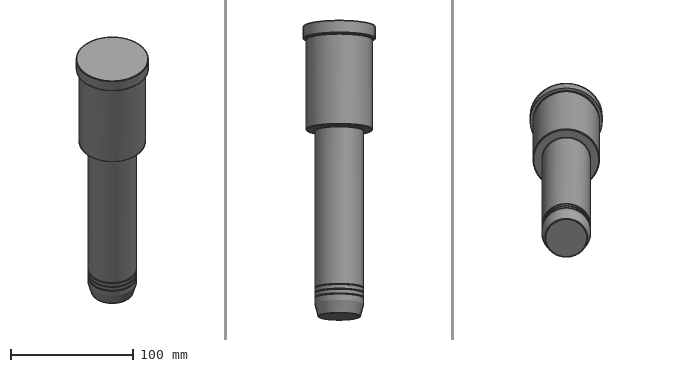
import cadquery as cq

total_length = 241.0
head_diameter = 59.0
head_height = 10.0
body_diameter = 54.5
body_length = 76.2
shank_diameter = 40.0
tip_diameter = 34.5
tip_length = 10.1
body_chamfer = 0.7
end_chamfer = 0.5

groove_count = 3
lowest_groove_height = 15.7
groove_span = 8.0
groove_width = 1.0
groove_depth = 0.2
neck_width = 1.5
neck_depth = 0.7

groove_pitch = groove_span / (groove_count - 1)
head_base = total_length - head_height
body_base = head_base - body_length


def cylinder(diameter, base, height):
    """Solid cylinder on the Z axis, starting at the given height."""
    return cq.Workplane("XY").workplane(offset=base).circle(diameter / 2).extrude(height)


def tapered_tip():
    """Cone that widens from the chamfered tip face to the shank."""
    return (
        cq.Workplane("XY")
        .circle(tip_diameter / 2)
        .workplane(offset=tip_length)
        .circle(shank_diameter / 2)
        .loft(ruled=True)
        .faces("<Z")
        .chamfer(end_chamfer)
    )


def cut_groove(part, diameter, center_height, width, depth):
    """Cut a shallow V-shaped ring groove into a cylindrical surface."""
    radius = diameter / 2
    half_width = width / 2
    profile = [
        (radius - depth, center_height),
        (radius, center_height + half_width),
        (radius + depth, center_height + half_width),
        (radius + depth, center_height - half_width),
        (radius, center_height - half_width),
    ]
    ring = cq.Workplane("XZ").polyline(profile).close().revolve(360, (0, 0), (0, 1))
    return part.cut(ring)


head = cylinder(head_diameter, head_base, head_height).faces(">Z").chamfer(end_chamfer)
body = cylinder(body_diameter, body_base, body_length).faces("<Z").chamfer(body_chamfer)
shank = cylinder(shank_diameter, tip_length, body_base - tip_length)

result = tapered_tip().union(shank).union(body).union(head)
for index in range(groove_count):
    ring_height = lowest_groove_height + index * groove_pitch
    result = cut_groove(result, shank_diameter, ring_height, groove_width, groove_depth)

neck_height = head_base - neck_width / 2
result = cut_groove(result, body_diameter, neck_height, neck_width, neck_depth)
shank_relief_height = body_base - groove_width / 2
result = cut_groove(result, shank_diameter, shank_relief_height, groove_width, groove_depth)